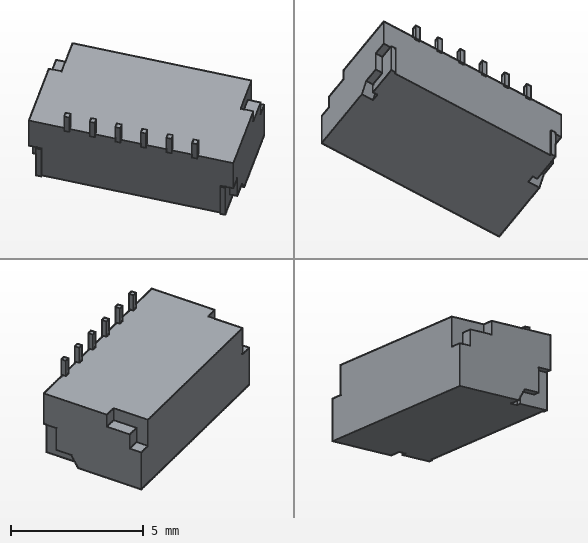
import cadquery as cq

body_width = 8.0
body_depth = 4.26
body_height = 2.9

metal_overhang = 0.06

pin_count = 6
pin_pitch = 1.0
pin_size = 0.2
pin_bottom = 2.8
pin_top = 3.6

end_cut_depth = 0.5

upper_step_length = 1.5
upper_step_drop = 0.55
lower_step_length = 0.5
lower_step_drop = 1.2

pocket_height = 1.5
pocket_back = 0.55
ramp_height = 0.5
ramp_top = 1.2
ramp_bottom = 1.5

clip_thickness = 0.2


def end_profile(points, side, depth, thickness):
    """Extrude a (Y, Z) outline along X; its inner face lies `depth` in from the end on `side`."""
    outline = cq.Workplane("YZ").polyline(points).close()
    inner_face = body_width / 2 - depth
    return outline.extrude(side * thickness).translate((side * inner_face, 0, 0))


def rear_notch(side):
    """Two-step cutter for the rear top corner of one end."""
    points = [
        (body_depth, body_height),
        (body_depth - upper_step_length, body_height),
        (body_depth - upper_step_length, body_height - upper_step_drop),
        (body_depth - lower_step_length, body_height - upper_step_drop),
        (body_depth - lower_step_length, body_height - lower_step_drop),
        (body_depth, body_height - lower_step_drop),
    ]
    return end_profile(points, side, end_cut_depth, end_cut_depth)


def clip_pocket(side):
    """L-shaped cutter with a sloping rear wall for the front bottom corner of one end."""
    points = [
        (0, 0),
        (ramp_bottom, 0),
        (ramp_top, ramp_height),
        (pocket_back, ramp_height),
        (pocket_back, pocket_height),
        (0, pocket_height),
    ]
    return end_profile(points, side, end_cut_depth, end_cut_depth)


def solder_clip(side):
    """L-shaped plate that fills the inner part of the pocket and protrudes at the front."""
    points = [
        (-metal_overhang, 0),
        (ramp_top, 0),
        (ramp_top, ramp_height),
        (pocket_back, ramp_height),
        (pocket_back, pocket_height),
        (-metal_overhang, pocket_height),
    ]
    return end_profile(points, side, end_cut_depth, clip_thickness)


def contact_pin(x_center):
    """Square pin sunk into the front top edge."""
    pin = cq.Workplane("XY").box(
        pin_size, pin_size, pin_top - pin_bottom, centered=(True, False, False)
    )
    return pin.translate((x_center, -metal_overhang, pin_bottom))


result = cq.Workplane("XY").box(
    body_width, body_depth, body_height, centered=(True, False, False)
)

for end_side in (-1, 1):
    result = result.cut(rear_notch(end_side))
    result = result.cut(clip_pocket(end_side))
    result = result.union(solder_clip(end_side))

for pin_index in range(pin_count):
    pin_x = (pin_index - (pin_count - 1) / 2) * pin_pitch
    result = result.union(contact_pin(pin_x))